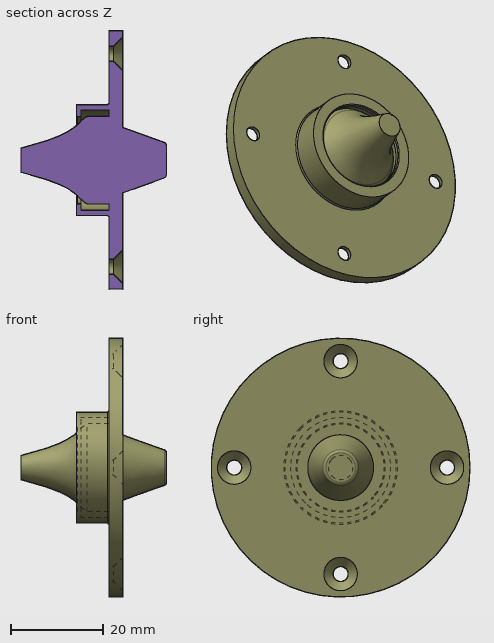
import cadquery as cq

total_length = 31.5
hub_front = 12.0
flange_front = 19.0
flange_thickness = 3.0
flange_back = flange_front + flange_thickness

flange_radius = 56.0 / 2
hole_diameter = 3.2
countersink_depth = 2.0
hole_circle_radius = 23.0
hole_count = 4

hub_radius = 24.0 / 2
hub_base_chamfer = 0.3
bore_radius = 18.8 / 2
bore_lip_chamfer = 0.2
lip_thickness = 1.0
cavity_radius = 21.6 / 2

tip_radius = 2.65
flare_waist = (5.95, 4.35)
flare_mouth = (hub_front, 7.5)
flare_end = (13.15, 8.7)
tip_slope = (1.0, 0.26)
end_slope = (1.0, 1.2)
shoulder_radius = 9.5
shoulder_start = 14.3
shoulder_bulge = (13.85, 9.25)

tail_base_radius = 7.1
tail_end_radius = 3.7
tail_edge_fillet = 0.7


def revolve_about_x(profile):
    """Revolve a closed profile, drawn as (x, radius), about the X axis."""
    return profile.close().revolve(360, (0, 0, 0), (1, 0, 0))


def make_nose():
    profile = (
        cq.Workplane("XY")
        .lineTo(0, tip_radius)
        .spline(
            [flare_waist, flare_mouth, flare_end],
            tangents=[tip_slope, end_slope],
            includeCurrent=True,
        )
        .threePointArc(shoulder_bulge, (shoulder_start, shoulder_radius))
        .lineTo(flange_front, shoulder_radius)
        .lineTo(flange_front, 0)
    )
    return revolve_about_x(profile)


def make_hub():
    """Hollow hub with a chamfered front lip and a chamfered flare at its base."""
    profile = (
        cq.Workplane("XY")
        .moveTo(flange_front, cavity_radius)
        .lineTo(hub_front + lip_thickness, cavity_radius)
        .lineTo(hub_front + lip_thickness, bore_radius)
        .lineTo(hub_front + bore_lip_chamfer, bore_radius)
        .lineTo(hub_front, bore_radius + bore_lip_chamfer)
        .lineTo(hub_front, hub_radius)
        .lineTo(flange_front - hub_base_chamfer, hub_radius)
        .lineTo(flange_front, hub_radius + hub_base_chamfer)
    )
    return revolve_about_x(profile)


def make_flange():
    """Disc with through holes countersunk at 90 degrees from the back."""
    disc = (
        cq.Workplane("YZ", origin=(flange_front, 0, 0))
        .circle(flange_radius)
        .extrude(flange_thickness)
    )
    return (
        disc.faces(">X")
        .workplane()
        .polarArray(hole_circle_radius, 0, 360, hole_count)
        .cskHole(hole_diameter, hole_diameter + 2 * countersink_depth, 90)
    )


def make_tail():
    profile = (
        cq.Workplane("XY")
        .moveTo(flange_back, 0)
        .lineTo(flange_back, tail_base_radius)
        .lineTo(total_length, tail_end_radius)
        .lineTo(total_length, 0)
    )
    return revolve_about_x(profile).faces(">X").edges().fillet(tail_edge_fillet)


result = make_flange().union(make_hub()).union(make_nose()).union(make_tail())